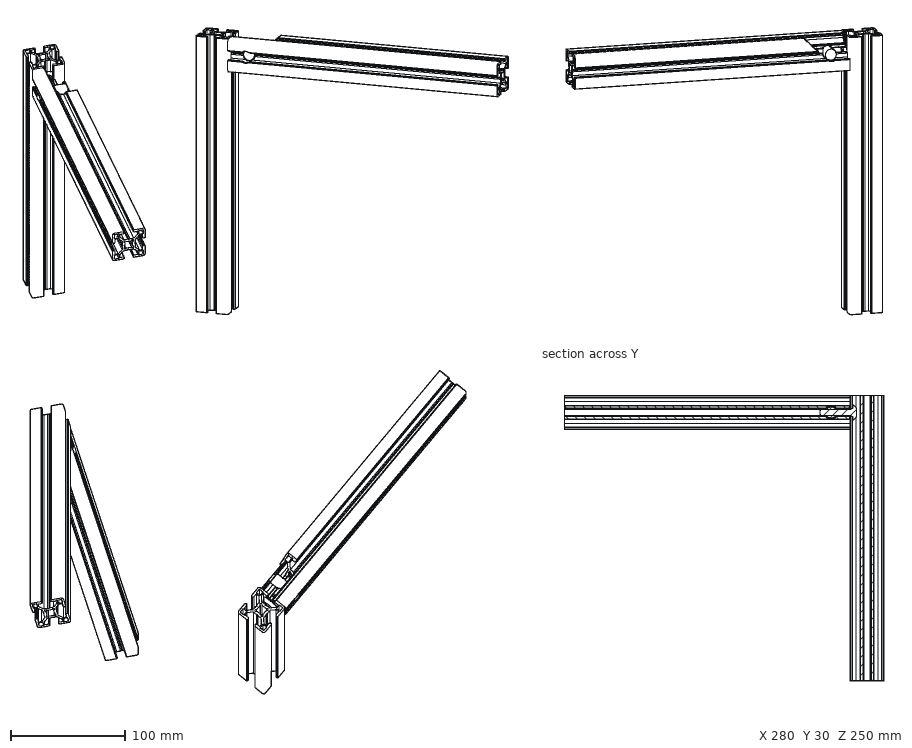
import cadquery as cq
import math

SIZE = 30.0
HALF = SIZE / 2
LENGTH = 250.0
CORNER_RADIUS = 2.0
SLOT_WIDTH = 8.0
LIP_THICKNESS = 2.4
LIP_CHAMFER = 0.7
OUTER_WALL = 1.8
INNER_WALL = 1.0
HOLLOW = 4.0
CORNER_BLOCK = OUTER_WALL + HOLLOW + INNER_WALL
ARM_THICKNESS = 2.2
CORE_HALF = 6.0
BORE_HALF = 3.5
BORE_RELIEF_RADIUS = 0.9
FLOOR_GROOVE_WIDTH = 2.0
FLOOR_GROOVE_DEPTH = 0.5

POST_X = HALF
BEAM_X = SIZE
BEAM_Z = LENGTH - HALF

RELIEF_TOP_END = 69.5

BARREL_X = 46.5
BARREL_DIAMETER = 10.0
BARREL_HOLE = 10.9
BARREL_REAR = 11.5
BARREL_FRONT = -CORE_HALF

HEAD_START = 24.2
HEAD_SEAT = SIZE - LIP_THICKNESS
HEAD_SMALL_RADIUS = 4.3
HEAD_LARGE_RADIUS = 7.8
NECK_RADIUS = 3.9
NECK_END = 28.7
NECK_TAPER = 0.9
SHANK_RADIUS = 3.0
BOLT_END = 56.4
BOLT_CHAMFER = 0.8

RING_START = 32.6
RING_WIDTH = 2.0
RING_CHAMFER = 0.4


def square_bar(half):
    return cq.Workplane("XY").rect(2 * half, 2 * half).extrude(LENGTH)


def corner_points(offset):
    return [(sx * offset, sy * offset) for sx in (-1, 1) for sy in (-1, 1)]


def corner_bars(offset, side):
    """Four square bars, one at each corner of the section."""
    return cq.Workplane("XY").pushPoints(corner_points(offset)).rect(side, side).extrude(LENGTH)


def slot_mouth():
    """Opening of the slot on the +Y side, with all lip edges chamfered."""
    gap = SLOT_WIDTH / 2
    flare = gap + LIP_CHAMFER
    lip_inside = HALF - LIP_THICKNESS
    right_side = [
        (flare, HALF),
        (gap, HALF - LIP_CHAMFER),
        (gap, lip_inside + LIP_CHAMFER),
        (flare, lip_inside),
        (gap, CORE_HALF),
    ]
    left_side = [(-x, y) for x, y in reversed(right_side)]
    return cq.Workplane("XY").polyline(right_side + left_side).close().extrude(LENGTH)


def floor_groove():
    """V-groove along the middle of the slot floor on the +Y side."""
    outline = [
        (-FLOOR_GROOVE_WIDTH / 2, CORE_HALF),
        (0, CORE_HALF - FLOOR_GROOVE_DEPTH),
        (FLOOR_GROOVE_WIDTH / 2, CORE_HALF),
    ]
    return cq.Workplane("XY").polyline(outline).close().extrude(LENGTH)


def extrusion():
    """Slotted bar centred on the Z axis, standing on Z = 0."""
    envelope = square_bar(HALF).edges("|Z").fillet(CORNER_RADIUS)
    body = envelope.cut(square_bar(HALF - LIP_THICKNESS))
    body = body.union(corner_bars(HALF - CORNER_BLOCK / 2, CORNER_BLOCK).intersect(envelope))
    body = body.union(square_bar(CORE_HALF))

    arm_length = 2 * math.sqrt(2) * (HALF - OUTER_WALL - HOLLOW)
    for angle in (45, 135):
        arm = cq.Workplane("XY").rect(arm_length, ARM_THICKNESS).extrude(LENGTH)
        body = body.union(arm.rotate((0, 0, 0), (0, 0, 1), angle))

    body = body.cut(corner_bars(HALF - OUTER_WALL - HOLLOW / 2, HOLLOW))
    body = body.cut(square_bar(BORE_HALF))
    reliefs = cq.Workplane("XY").pushPoints(corner_points(BORE_HALF)).circle(BORE_RELIEF_RADIUS)
    body = body.cut(reliefs.extrude(LENGTH))

    for angle in (0, 90, 180, 270):
        body = body.cut(slot_mouth().rotate((0, 0, 0), (0, 0, 1), angle))
        body = body.cut(floor_groove().rotate((0, 0, 0), (0, 0, 1), angle))
    return body


def cross_cylinder(diameter, front, rear):
    """Cylinder across the beam, between two Y positions."""
    start = cq.Plane(origin=(BARREL_X, rear, BEAM_Z), xDir=(0, 0, 1), normal=(0, -1, 0))
    return cq.Workplane(start).circle(diameter / 2).extrude(rear - front)


def end_relief():
    """Quarter behind and above the beam axis, closed by a 45 degree face."""
    outline = [
        (BEAM_X, BEAM_Z),
        (RELIEF_TOP_END - HALF, BEAM_Z),
        (RELIEF_TOP_END, LENGTH),
        (BEAM_X, LENGTH),
    ]
    return cq.Workplane("XZ", origin=(0, HALF, 0)).polyline(outline).close().extrude(HALF)


def about_bolt_axis(points):
    """Solid of revolution about the bolt axis from (X, radius) points."""
    outline = cq.Workplane("XY").polyline(points).close()
    return outline.revolve(360, (0, 0, 0), (1, 0, 0)).translate((0, 0, BEAM_Z))


def make_post():
    return extrusion().translate((POST_X, 0, 0))


def make_beam():
    bar = extrusion().rotate((0, 0, 0), (0, 1, 0), 90).translate((BEAM_X, 0, BEAM_Z))
    return bar.cut(cross_cylinder(BARREL_HOLE, -HALF, HALF)).cut(end_relief())


def make_bolt():
    """Conical head in the post slot, neck between the lips, shank through the barrel."""
    return about_bolt_axis([
        (HEAD_START, 0),
        (HEAD_START, HEAD_SMALL_RADIUS),
        (HEAD_SEAT, HEAD_LARGE_RADIUS),
        (HEAD_SEAT, NECK_RADIUS),
        (NECK_END, NECK_RADIUS),
        (NECK_END + NECK_TAPER, SHANK_RADIUS),
        (BOLT_END - BOLT_CHAMFER, SHANK_RADIUS),
        (BOLT_END, SHANK_RADIUS - BOLT_CHAMFER),
        (BOLT_END, 0),
    ])


def make_ring():
    """Chamfered ring that fits between the shank and the beam bore."""
    ring_end = RING_START + RING_WIDTH
    return about_bolt_axis([
        (RING_START, SHANK_RADIUS),
        (RING_START, BORE_HALF - RING_CHAMFER),
        (RING_START + RING_CHAMFER, BORE_HALF),
        (ring_end - RING_CHAMFER, BORE_HALF),
        (ring_end, BORE_HALF - RING_CHAMFER),
        (ring_end, SHANK_RADIUS),
    ])


post = make_post()
beam = make_beam()
bolt = make_bolt()
ring = make_ring()
barrel = cross_cylinder(BARREL_DIAMETER, BARREL_FRONT, BARREL_REAR).cut(bolt)

result = cq.Compound.makeCompound([post.val(), beam.val(), bolt.val(), ring.val(), barrel.val()])